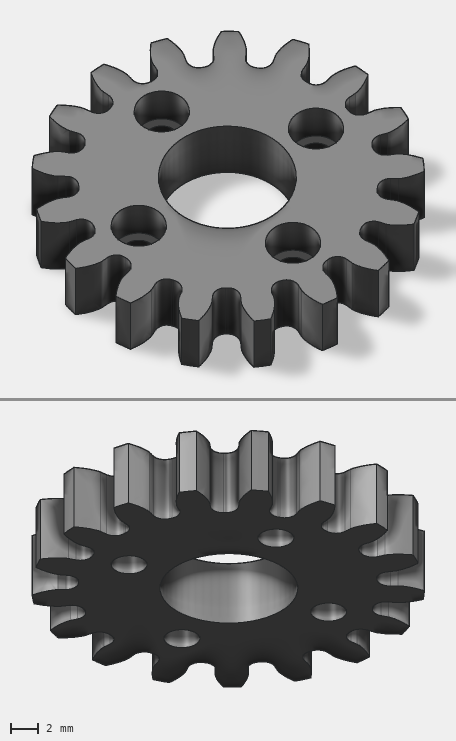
import cadquery as cq
import math

TOOTH_COUNT = 17
MODULE = 1.5
PRESSURE_ANGLE = math.radians(14.5)
DEDENDUM_FACTOR = 1.25
ROOT_FILLET_FACTOR = 0.625
THICKNESS = 5.0
FIRST_TOOTH_ANGLE = -math.pi / 2
FLANK_POINT_COUNT = 6

BORE_DIAMETER = 10.0
BOLT_COUNT = 4
BOLT_CIRCLE_RADIUS = 8.0
BOLT_HOLE_DIAMETER = 2.6
COUNTERBORE_DIAMETER = 4.0
COUNTERBORE_DEPTH = 3.0

PITCH_RADIUS = MODULE * TOOTH_COUNT / 2
TIP_RADIUS = PITCH_RADIUS + MODULE
ROOT_RADIUS = PITCH_RADIUS - DEDENDUM_FACTOR * MODULE
BASE_RADIUS = PITCH_RADIUS * math.cos(PRESSURE_ANGLE)
TOOTH_PITCH = 2 * math.pi / TOOTH_COUNT


def involute(angle):
    """Involute function: the polar angle swept at a given pressure angle."""
    return math.tan(angle) - angle


BASE_HALF_ANGLE = TOOTH_PITCH / 4 + involute(PRESSURE_ANGLE)
GAP_HALF_ANGLE = TOOTH_PITCH / 2 - BASE_HALF_ANGLE

ROOT_FILLET_RADIUS = ROOT_FILLET_FACTOR * MODULE
FILLET_CENTRE_RADIUS = ROOT_RADIUS + ROOT_FILLET_RADIUS
FILLET_ANGLE = math.asin(ROOT_FILLET_RADIUS / FILLET_CENTRE_RADIUS)
FILLET_TOP_RADIUS = FILLET_CENTRE_RADIUS * math.cos(FILLET_ANGLE)
ROOT_HALF_ANGLE = GAP_HALF_ANGLE - FILLET_ANGLE

TIP_HALF_ANGLE = BASE_HALF_ANGLE - involute(math.acos(BASE_RADIUS / TIP_RADIUS))
HIGHEST_Y = TIP_RADIUS * math.cos(TOOTH_PITCH / 2 - TIP_HALF_ANGLE)
HOLE_PATTERN_Y = (HIGHEST_Y - TIP_RADIUS) / 2


def polar(radius, angle):
    return (radius * math.cos(angle), radius * math.sin(angle))


def flank(tooth_angle, side):
    """Involute points from base circle to tip; side is -1 (clockwise) or +1."""
    points = []
    tip_roll = math.sqrt((TIP_RADIUS / BASE_RADIUS) ** 2 - 1)
    for i in range(FLANK_POINT_COUNT):
        roll = tip_roll * i / (FLANK_POINT_COUNT - 1)
        radius = BASE_RADIUS * math.hypot(1, roll)
        half_angle = BASE_HALF_ANGLE - involute(math.atan(roll))
        points.append(polar(radius, tooth_angle + side * half_angle))
    return points


def fillet_middle(gap_angle, side):
    """Middle of a root fillet's arc; side is -1 or +1 of the gap centre line."""
    centre_angle = gap_angle + side * ROOT_HALF_ANGLE
    centre_x, centre_y = polar(FILLET_CENTRE_RADIUS, centre_angle)
    half_sweep = (math.pi / 2 - FILLET_ANGLE) / 2
    offset_x, offset_y = polar(ROOT_FILLET_RADIUS, centre_angle + math.pi - side * half_sweep)
    return (centre_x + offset_x, centre_y + offset_y)


def gear_outline():
    """Closed outline, tooth by tooth anticlockwise, each followed by its rounded gap."""
    start = polar(FILLET_TOP_RADIUS, FIRST_TOOTH_ANGLE - BASE_HALF_ANGLE)
    outline = cq.Workplane("XY").moveTo(*start)
    for i in range(TOOTH_COUNT):
        tooth_angle = FIRST_TOOTH_ANGLE + i * TOOTH_PITCH
        gap_angle = tooth_angle + TOOTH_PITCH / 2
        rising = flank(tooth_angle, -1)
        falling = flank(tooth_angle, 1)[::-1]
        root_start = polar(ROOT_RADIUS, gap_angle - ROOT_HALF_ANGLE)
        root_end = polar(ROOT_RADIUS, gap_angle + ROOT_HALF_ANGLE)
        next_flank = polar(FILLET_TOP_RADIUS, gap_angle + GAP_HALF_ANGLE)
        outline = (
            outline.lineTo(*rising[0])
            .spline(rising[1:], includeCurrent=True)
            .threePointArc(polar(TIP_RADIUS, tooth_angle), falling[0])
            .spline(falling[1:], includeCurrent=True)
            .lineTo(*polar(FILLET_TOP_RADIUS, tooth_angle + BASE_HALF_ANGLE))
            .threePointArc(fillet_middle(gap_angle, -1), root_start)
            .threePointArc(polar(ROOT_RADIUS, gap_angle), root_end)
            .threePointArc(fillet_middle(gap_angle, 1), next_flank)
        )
    return outline.close()


def make_blank():
    """Toothed disc standing on the XY plane."""
    return gear_outline().extrude(THICKNESS)


def top_face_plane(body):
    """Workplane on the top face, centred on the hole pattern."""
    return body.faces(">Z").workplane(origin=(0, HOLE_PATTERN_Y, THICKNESS))


def cut_bore(body):
    return top_face_plane(body).hole(BORE_DIAMETER)


def cut_bolt_holes(body):
    """Holes on the bolt circle, counterbored from the top face."""
    return (
        top_face_plane(body)
        .polarArray(BOLT_CIRCLE_RADIUS, 0, 360, BOLT_COUNT)
        .cboreHole(BOLT_HOLE_DIAMETER, COUNTERBORE_DIAMETER, COUNTERBORE_DEPTH)
    )


result = cut_bolt_holes(cut_bore(make_blank()))